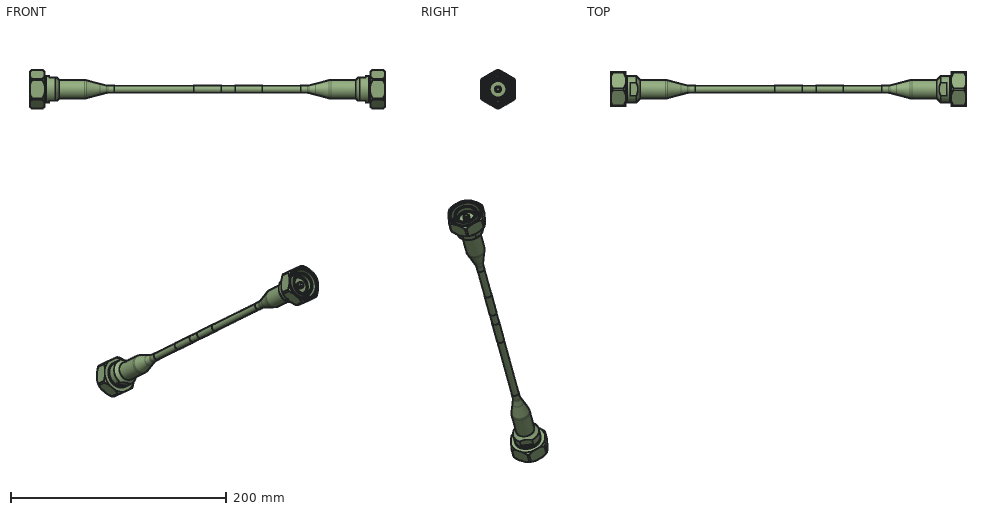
import cadquery as cq
import math

TOTAL_LENGTH = 330.0
HALF_LENGTH = TOTAL_LENGTH / 2

NUT_LENGTH = 14.0
NUT_ACROSS_FLATS = 32.0
NUT_TURNED_RADIUS = 36.0 / 2
NUT_CHAMFER_LENGTH = 2.0
NUT_CHAMFER_DEPTH = 1.5
NUT_BORE_RADIUS = 14.0
NUT_BORE_CHAMFER = 1.0
NUT_WEB = 4.0

COLLAR_RADIUS = 24.8 / 2
COLLAR_FRONT = NUT_LENGTH - NUT_WEB
COLLAR_END = 23.8
GROOVE_START = 14.5
GROOVE_WIDTH = 1.0
GROOVE_DEPTH = 0.3

FLAT_DISTANCE = 11.0
FLAT_START = 18.0

BARREL_RADIUS = 17.5 / 2
BARREL_START = 27.5
BOOT_START = 51.5
BOOT_MIDDLE = 65.0
BOOT_MIDDLE_RADIUS = 10.2 / 2
BOOT_END = 71.5
BOOT_BLEND_RADIUS = 6.5
SLEEVE_END = 78.2
SLEEVE_RADIUS = 7.0 / 2

TUBE_RADIUS = 11.0
TUBE_TIP = 0.3
TUBE_LIP_BEVEL = 1.0
TUBE_LIP_RADIUS = TUBE_RADIUS - TUBE_LIP_BEVEL
TUBE_INNER_RADIUS = TUBE_LIP_RADIUS - TUBE_LIP_BEVEL
SHOULDER = 6.3
SOCKET_RADIUS = 7.5
SOCKET_FLOOR = 7.3
PIN_RADIUS = 3.0
PIN_TIP = 3.3
PIN_TIP_CHAMFER = 1.3

CABLE_RADIUS = 3.3
CABLE_HALF_LENGTH = HALF_LENGTH - SLEEVE_END
MARKER_RADIUS = SLEEVE_RADIUS
MARKER_LENGTH = 25.5
MARKER_GAP = 13.0
MARKER_COUNT = 2


def turned_solid(points):
    """Revolve an outline of (x, radius) points about the X axis."""
    return cq.Workplane("XY").polyline(points).close().revolve(360, (0, 0, 0), (1, 0, 0))


def cylinder_along_x(start, length, radius):
    return cq.Workplane("YZ", origin=(start, 0, 0)).circle(radius).extrude(length)


def make_nut():
    corner_diameter = NUT_ACROSS_FLATS / math.cos(math.pi / 6)
    hexagon = cq.Workplane("YZ").polygon(6, corner_diameter).extrude(NUT_LENGTH)
    hexagon = hexagon.rotate((0, 0, 0), (1, 0, 0), 90)
    end_radius = NUT_TURNED_RADIUS - NUT_CHAMFER_DEPTH
    blank = turned_solid([
        (0, 0),
        (0, end_radius),
        (NUT_CHAMFER_LENGTH, NUT_TURNED_RADIUS),
        (NUT_LENGTH - NUT_CHAMFER_LENGTH, NUT_TURNED_RADIUS),
        (NUT_LENGTH, end_radius),
        (NUT_LENGTH, 0),
    ])
    bore = turned_solid([
        (0, 0),
        (0, NUT_BORE_RADIUS + NUT_BORE_CHAMFER),
        (NUT_BORE_CHAMFER, NUT_BORE_RADIUS),
        (COLLAR_FRONT, NUT_BORE_RADIUS),
        (COLLAR_FRONT, COLLAR_RADIUS),
        (NUT_LENGTH, COLLAR_RADIUS),
        (NUT_LENGTH, 0),
    ])
    return hexagon.intersect(blank).cut(bore)


def plug_outline():
    groove_end = GROOVE_START + GROOVE_WIDTH
    groove_radius = COLLAR_RADIUS - GROOVE_DEPTH
    bevel_end = TUBE_TIP + TUBE_LIP_BEVEL
    pin = [
        (PIN_TIP, 0),
        (PIN_TIP, PIN_RADIUS - PIN_TIP_CHAMFER),
        (PIN_TIP + PIN_TIP_CHAMFER, PIN_RADIUS),
        (SOCKET_FLOOR, PIN_RADIUS),
    ]
    tube = [
        (SOCKET_FLOOR, SOCKET_RADIUS),
        (SHOULDER, SOCKET_RADIUS),
        (SHOULDER, TUBE_INNER_RADIUS),
        (bevel_end, TUBE_INNER_RADIUS),
        (TUBE_TIP, TUBE_LIP_RADIUS),
        (bevel_end, TUBE_RADIUS),
        (COLLAR_FRONT, TUBE_RADIUS),
    ]
    collar = [
        (COLLAR_FRONT, COLLAR_RADIUS),
        (GROOVE_START, COLLAR_RADIUS),
        (GROOVE_START, groove_radius),
        (groove_end, groove_radius),
        (groove_end, COLLAR_RADIUS),
        (COLLAR_END, COLLAR_RADIUS),
    ]
    barrel_and_boot = [
        (BARREL_START, BARREL_RADIUS),
        (BOOT_START, BARREL_RADIUS),
        (BOOT_MIDDLE, BOOT_MIDDLE_RADIUS),
        (BOOT_END, SLEEVE_RADIUS),
        (SLEEVE_END, SLEEVE_RADIUS),
        (SLEEVE_END, 0),
    ]
    return pin + tube + collar + barrel_and_boot


def blend_boot_ends(plug):
    margin = 0.3
    reach = BARREL_RADIUS + margin
    for x in (BOOT_START, BOOT_END):
        low_corner = (x - margin, -reach, -reach)
        high_corner = (x + margin, reach, reach)
        circle = cq.selectors.BoxSelector(low_corner, high_corner, boundingbox=True)
        plug = plug.edges(circle).fillet(BOOT_BLEND_RADIUS)
    return plug


def cut_wrench_flats(plug):
    length = BARREL_START - FLAT_START
    width = 2 * COLLAR_RADIUS
    height = COLLAR_RADIUS - FLAT_DISTANCE
    cutter = cq.Workplane("XY").box(length, width, height, centered=(False, True, False))
    cutter = cutter.translate((FLAT_START, 0, FLAT_DISTANCE))
    for angle in (0, 180):
        plug = plug.cut(cutter.rotate((0, 0, 0), (1, 0, 0), angle))
    return plug


def make_plug():
    plug = turned_solid(plug_outline())
    plug = blend_boot_ends(plug)
    return cut_wrench_flats(plug)


def make_cable():
    cable = cylinder_along_x(-CABLE_HALF_LENGTH, 2 * CABLE_HALF_LENGTH, CABLE_RADIUS)
    for i in range(MARKER_COUNT):
        start = -MARKER_LENGTH / 2 + i * (MARKER_LENGTH + MARKER_GAP)
        cable = cable.union(cylinder_along_x(start, MARKER_LENGTH, MARKER_RADIUS))
    return cable


def place_at_both_ends(part):
    """Copies at the -X end and, turned half a turn about Z, at the +X end."""
    at_left = part.translate((-HALF_LENGTH, 0, 0))
    return [at_left.rotate((0, 0, 0), (0, 0, 1), angle).val() for angle in (0, 180)]


cable = make_cable()
plugs = place_at_both_ends(make_plug())
nuts = place_at_both_ends(make_nut())

result = cq.Compound.makeCompound([cable.val(), *plugs, *nuts])